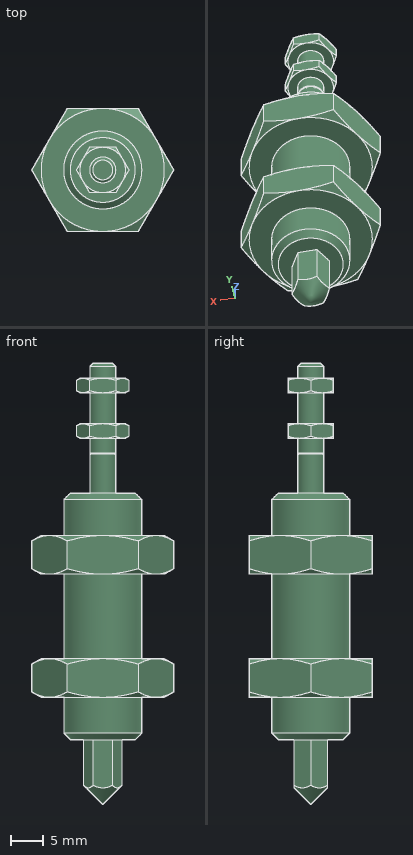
import cadquery as cq
import math

HEX_SIDES = 6


total_length = 68.0
rod_diameter = 4.0
rod_end_chamfer = 0.5
hex_across_flats = 5.2
hex_length = 10.0
thread_length = 14.0
thread_runout = 0.2

housing_diameter = 12.05
housing_length = 38.0
housing_chamfer = 1.0
housing_bottom = hex_length
housing_top = housing_bottom + housing_length

housing_nut_across_flats = 19.0
housing_nut_height = 6.0
housing_nut_inset = 6.5
housing_nut_bottoms = [
    housing_bottom + housing_nut_inset,
    housing_top - housing_nut_inset - housing_nut_height,
]

rod_nut_across_flats = 7.0
rod_nut_height = 2.25
rod_nut_inset = 2.3
rod_nut_pitch = 7.0
upper_rod_nut_bottom = total_length - rod_nut_inset - rod_nut_height
rod_nut_bottoms = [upper_rod_nut_bottom - rod_nut_pitch, upper_rod_nut_bottom]

nut_chamfer_angle = 30.0


def across_corners(across_flats):
    half_side_angle = math.pi / HEX_SIDES
    return across_flats / math.cos(half_side_angle)


def cylinder(diameter, bottom, height):
    return cq.Workplane("XY").workplane(offset=bottom).circle(diameter / 2).extrude(height)


def hexagon(across_flats, bottom, height):
    """Hexagonal prism with two of its corners on the X axis."""
    plane = cq.Workplane("XY").workplane(offset=bottom)
    return plane.polygon(HEX_SIDES, across_corners(across_flats)).extrude(height)


def revolved(profile):
    """Solid of revolution about Z from a list of (radius, height) points."""
    return cq.Workplane("XZ").polyline(profile).close().revolve(360, (0, 0), (0, 1))


def make_nut(across_flats, height, bore, bottom):
    """Hexagon nut whose corners are cut by a shallow cone at both ends."""
    flat_radius = across_flats / 2
    corner_radius = across_corners(across_flats) / 2
    corner_drop = (corner_radius - flat_radius) * math.tan(math.radians(nut_chamfer_angle))
    top = bottom + height
    envelope = revolved([
        (0, bottom),
        (flat_radius, bottom),
        (corner_radius, bottom + corner_drop),
        (corner_radius, top - corner_drop),
        (flat_radius, top),
        (0, top),
    ])
    return hexagon(across_flats, bottom, height).intersect(envelope).cut(cylinder(bore, bottom, height))


def make_housing():
    barrel = cylinder(housing_diameter, housing_bottom, housing_length)
    barrel = barrel.faces("<Z or >Z").chamfer(housing_chamfer)
    return barrel.cut(cylinder(rod_diameter, housing_bottom, housing_length))


def make_plunger():
    corner_radius = across_corners(hex_across_flats) / 2
    point_envelope = revolved([
        (0, 0),
        (corner_radius, corner_radius),
        (corner_radius, hex_length),
        (0, hex_length),
    ])
    point = hexagon(hex_across_flats, 0, hex_length).intersect(point_envelope)

    rod_radius = rod_diameter / 2
    shoulder = total_length - thread_length
    rod = revolved([
        (0, hex_length),
        (rod_radius, hex_length),
        (rod_radius, shoulder),
        (rod_radius - thread_runout, shoulder),
        (rod_radius, shoulder + thread_runout),
        (rod_radius, total_length - rod_end_chamfer),
        (rod_radius - rod_end_chamfer, total_length),
        (0, total_length),
    ])
    return rod.union(point)


housing = make_housing()
plunger = make_plunger()
housing_nuts = [
    make_nut(housing_nut_across_flats, housing_nut_height, housing_diameter, bottom)
    for bottom in housing_nut_bottoms
]
rod_nuts = [
    make_nut(rod_nut_across_flats, rod_nut_height, rod_diameter, bottom)
    for bottom in rod_nut_bottoms
]

result = cq.Compound.makeCompound([
    housing.val(),
    plunger.val(),
    *[nut.val() for nut in housing_nuts],
    *[nut.val() for nut in rod_nuts],
])